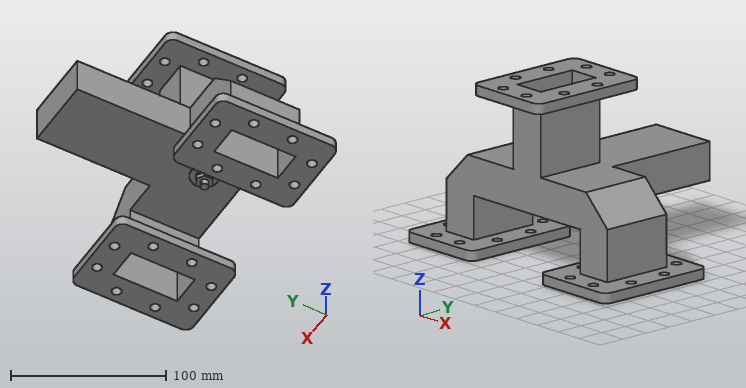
import cadquery as cq
import math


total_length = 191.8
total_height = 120.0
total_depth = 154.4

flange_width = 63.5
flange_depth = 89.0
flange_thickness = 7.0
flange_corner_radius = 6.0
bolt_hole_diameter = 6.5
end_bolt_x = 11.1
end_bolt_y = 36.0
side_bolt_x = 23.4
side_bolt_y = 14.4

tube_narrow = 26.3
tube_wide = 51.4
wall = 2.0
bridge_bottom = 36.8
bend_chamfer = 20.5
end_cap_thickness = 1.3

disc_diameter = 19.8
disc_height = 1.0
washer_diameter = 11.5
washer_height = 0.5
collar_diameter = 8.0
collar_height = 1.2
nut_across_flats = 10.4
nut_height = 3.5
stud_diameter = 5.5
stud_length = 4.2
stud_hole_diameter = 1.2

side_arm_x = (total_length - flange_width) / 2
bridge_top = bridge_bottom + tube_narrow
rear_end = total_depth - flange_depth / 2


def junction(inset, bottom, top, rear):
    """Solid of all four arms, with its side faces moved inward by inset."""
    half_narrow = tube_narrow / 2 - inset
    wide = tube_wide - 2 * inset
    outer_x = side_arm_x + half_narrow
    inner_x = side_arm_x - half_narrow
    low = bridge_bottom + inset
    high = bridge_top - inset
    chamfer = bend_chamfer - inset * (2 - math.sqrt(2))

    right_half = [
        (half_narrow, top),
        (half_narrow, high),
        (outer_x - chamfer, high),
        (outer_x, high - chamfer),
        (outer_x, bottom),
        (inner_x, bottom),
        (inner_x, low),
    ]
    left_half = [(-x, z) for x, z in reversed(right_half)]
    front_arms = (
        cq.Workplane("XZ")
        .polyline(right_half + left_half)
        .close()
        .extrude(wide / 2, both=True)
    )
    rear_arm = cq.Workplane("XY").box(wide, rear, high - low, centered=(True, False, False))
    return front_arms.union(rear_arm.translate((0, 0, low)))


def mirrored(x, y):
    """A point and its mirror images about both flange centre lines."""
    return [(x, y), (-x, y), (x, -y), (-x, -y)]


def flange(x, bottom):
    """Rounded plate with eight bolt holes."""
    plate = (
        cq.Workplane("XY")
        .box(flange_width, flange_depth, flange_thickness, centered=(True, True, False))
        .edges("|Z")
        .fillet(flange_corner_radius)
        .faces(">Z")
        .workplane()
        .pushPoints(mirrored(end_bolt_x, end_bolt_y) + mirrored(side_bolt_x, side_bolt_y))
        .hole(bolt_hole_diameter)
    )
    return plate.translate((x, 0, bottom))


def tuning_screw():
    """Stepped stack hanging from the bridge: disc, washer, collar, hex nut and drilled stud."""
    screw = (
        cq.Workplane("XY", origin=(0, 0, bridge_bottom))
        .circle(disc_diameter / 2)
        .extrude(-disc_height)
        .faces("<Z")
        .workplane()
        .circle(washer_diameter / 2)
        .extrude(washer_height)
        .faces("<Z")
        .workplane()
        .circle(collar_diameter / 2)
        .extrude(collar_height)
    )
    nut_top = bridge_bottom - disc_height - washer_height - collar_height
    nut_bottom = nut_top - nut_height
    nut_across_corners = nut_across_flats / math.cos(math.pi / 6)
    nut = (
        cq.Workplane("XY")
        .transformed(offset=(0, 0, nut_bottom), rotate=(0, 0, 90))
        .polygon(6, nut_across_corners)
        .extrude(nut_height)
    )
    stud = cq.Workplane("XY", origin=(0, 0, nut_bottom)).circle(stud_diameter / 2).extrude(-stud_length)
    stud_hole = (
        cq.Workplane("XZ", origin=(0, 0, nut_bottom - stud_length / 2))
        .circle(stud_hole_diameter / 2)
        .extrude(stud_diameter, both=True)
    )
    return screw.union(nut).union(stud.cut(stud_hole))


body = junction(0, 0, total_height, rear_end)
for flange_x, flange_bottom in (
    (-side_arm_x, 0),
    (side_arm_x, 0),
    (0, total_height - flange_thickness),
):
    body = body.union(flange(flange_x, flange_bottom))

passage = junction(wall, 0, total_height, rear_end - end_cap_thickness)
result = body.cut(passage).union(tuning_screw())